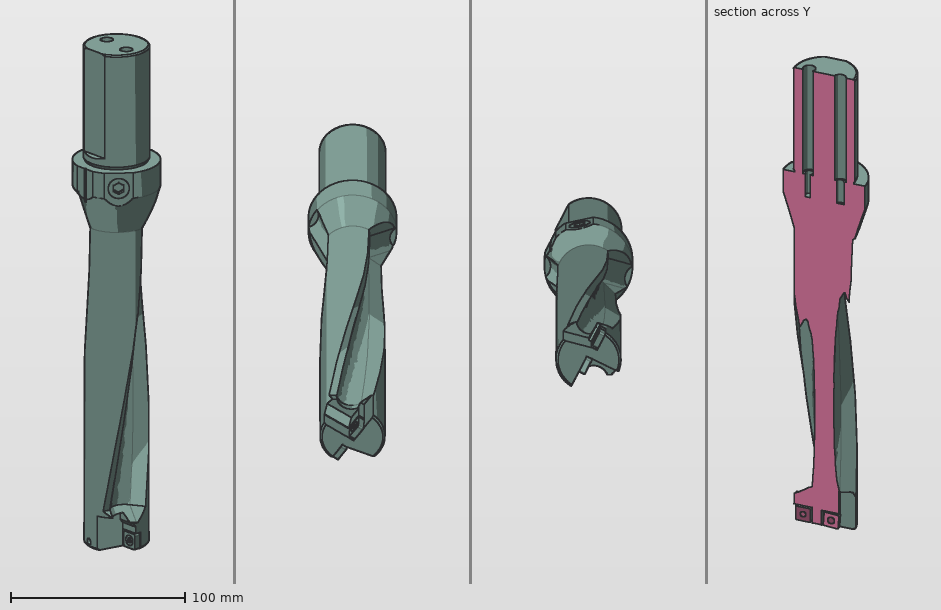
import cadquery as cq
import math

TOTAL_LENGTH = 303.8
FACE_Z = 0.5
COLLAR_R = 25.37
COLLAR_TOP_Z = 234.0
COLLAR_BOTTOM_Z = 218.5
SHANK_R = 19.0
SHANK_CHAMFER = 1.0
NECK_R = 18.2
NECK_TOP_Z = 235.8
BODY_R = 18.7
CONE_BOTTOM_Z = 196.0
FACE_CHAMFER = 1.2

SHANK_FLAT_Y = -17.0
SHANK_FLAT_Z = 239.5
SHANK_FLAT_RISE = 1.2

COLLAR_FLAT_Y = -24.45
COLLAR_MARK_W = 1.2
COLLAR_MARK_DEPTH = 0.5
PLUG_FLAT_DIST = 24.0
PLUG_ANGLE = -39.0
PLUG_R = 6.0
PLUG_LENGTH = 9.0
PLUG_Z = 224.5
PLUG_HEX = 7.0
PLUG_HEX_DEPTH = 3.5

COOLANT_X = 10.0
COOLANT_Y = -1.5
COOLANT_R = 3.5
COOLANT_DEPTH = 70.0
COOLANT_CORE_R = 2.5
COOLANT_CORE_DEPTH = 85.0

FLUTE_R = 8.5
FLUTE_CENTRE = (-11.2, -9.0)
LIP_JOINT_ANGLE = 119.0
LIP_END = (-24.3, 6.5)
WALL_END = (-1.2, -30.5)
FLUTE_OUTSIDE = (-33.5, -30.5)
RUNOUT_SLOPE = (-0.1, -0.8)
RUNOUT_HEIGHT = COLLAR_BOTTOM_Z - CONE_BOTTOM_Z
TWIST_START_Z = CONE_BOTTOM_Z
TWIST_FULL_Z = 127.5
TWIST_RATE = 0.5595
FLUTE_BOTTOM_Z = 25.2
INNER_END_SLOPE = (0.2, 0.2)
OUTER_END_SLOPE = (0.8, 0.8)
END_HEIGHT = 8.0
SECOND_FLUTE_ANGLE = 194.0
PATH_STEPS = 24

INSERT_SIZE = 9.5
INSERT_T = 3.5
INSERT_CORNER_R = 1.0
INSERT_HALF_T = INSERT_T / 2
OUTER_INSERT_X = 13.0
OUTER_INSERT_Z = 5.32
INNER_INSERT_X = -4.3
INNER_INSERT_TILT = 4.0
POCKET_GAP = 1.0
OUTER_POCKET_TOP_Z = 21.5
OUTER_STEP_Z = (15.0, 17.0)
OUTER_STEP_H = 1.5
INNER_POCKET_TOP_Z = 18.0
OUTER_WALL = ((3.3, -21.3), (7.3, -INSERT_HALF_T))
INNER_WALL_X = 1.5
INNER_WALL_TOP_X = -1.5
INNER_LEAN_Z = 9.5
INNER_RELIEF_X = -9.0
SCREW_HEAD_R = 3.0
SCREW_HEAD_H = 1.8
SCREW_R = 1.5
SCREW_LENGTH = 8.5
SCREW_HEX = 3.0
SCREW_HEX_DEPTH = 1.2

SIDE_HOLE_X = -3.3
SIDE_HOLE_Z = 4.3
SIDE_HOLE_R = 1.8
SIDE_HOLE_DEPTH = 6.0

BIG = 2 * COLLAR_R


def block(x0, x1, y0, y1, z0, z1):
    """Box between two opposite corners."""
    return cq.Workplane("XY").box(x1 - x0, y1 - y0, z1 - z0, centered=False).translate((x0, y0, z0))


def turned_blank():
    """Shank, undercut, collar, cone and drill length as one turned profile."""
    profile = [
        (0, FACE_Z),
        (BODY_R - FACE_CHAMFER, FACE_Z),
        (BODY_R, FACE_Z + FACE_CHAMFER),
        (BODY_R, CONE_BOTTOM_Z),
        (COLLAR_R, COLLAR_BOTTOM_Z),
        (COLLAR_R, COLLAR_TOP_Z),
        (NECK_R, COLLAR_TOP_Z),
        (SHANK_R, NECK_TOP_Z),
        (SHANK_R, TOTAL_LENGTH - SHANK_CHAMFER),
        (SHANK_R - SHANK_CHAMFER, TOTAL_LENGTH),
        (0, TOTAL_LENGTH),
    ]
    return cq.Workplane("XZ").polyline(profile).close().revolve(360, (0, 0, 0), (0, 1, 0))


def shank_flat():
    """Flat along the shank, ending in a sloped ledge."""
    return (
        cq.Workplane("YZ")
        .polyline([
            (SHANK_FLAT_Y, SHANK_FLAT_Z + SHANK_FLAT_RISE),
            (-SHANK_R, SHANK_FLAT_Z),
            (-BIG, SHANK_FLAT_Z),
            (-BIG, TOTAL_LENGTH),
            (SHANK_FLAT_Y, TOTAL_LENGTH),
        ])
        .close()
        .extrude(BIG, both=True)
    )


def collar_flats():
    """Flat at -Y with its index groove, and the flat that carries the plug."""
    index_flat = block(-BIG, BIG, -BIG, COLLAR_FLAT_Y, CONE_BOTTOM_Z, COLLAR_TOP_Z)
    mark = block(-COLLAR_MARK_W / 2, COLLAR_MARK_W / 2, -BIG, COLLAR_FLAT_Y + COLLAR_MARK_DEPTH,
                 CONE_BOTTOM_Z, COLLAR_TOP_Z)
    plug_flat = block(PLUG_FLAT_DIST, BIG, -BIG, BIG, CONE_BOTTOM_Z, COLLAR_TOP_Z)
    return index_flat.union(mark).union(plug_flat.rotate((0, 0, 0), (0, 0, 1), PLUG_ANGLE))


def plug_blank():
    """Round blank of the collar plug, flush with its flat."""
    return (
        cq.Workplane("YZ", origin=(PLUG_FLAT_DIST - PLUG_LENGTH, 0, PLUG_Z))
        .circle(PLUG_R)
        .extrude(PLUG_LENGTH)
        .rotate((0, 0, 0), (0, 0, 1), PLUG_ANGLE)
    )


def make_plug():
    """Collar plug with its hexagon socket."""
    socket = (
        cq.Workplane("YZ", origin=(PLUG_FLAT_DIST - PLUG_HEX_DEPTH, 0, PLUG_Z))
        .transformed(rotate=(0, 0, 90))
        .polygon(6, PLUG_HEX)
        .extrude(PLUG_HEX_DEPTH)
        .rotate((0, 0, 0), (0, 0, 1), PLUG_ANGLE)
    )
    return plug_blank().cut(socket)


def coolant_holes():
    """Two stepped coolant holes down from the shank end."""
    places = [(COOLANT_X, COOLANT_Y), (-COOLANT_X, -COOLANT_Y)]
    end = cq.Workplane("XY", origin=(0, 0, TOTAL_LENGTH)).pushPoints(places)
    return end.circle(COOLANT_R).extrude(-COOLANT_DEPTH).union(
        end.circle(COOLANT_CORE_R).extrude(-COOLANT_CORE_DEPTH)
    )


def twist_at(z):
    """Flute twist in degrees: none at the top, easing into a constant rate."""
    ease = TWIST_START_Z - TWIST_FULL_Z
    drop = TWIST_START_Z - z
    if drop < ease:
        return TWIST_RATE * drop ** 2 / (2 * ease)
    return TWIST_RATE * (drop - ease / 2)


def flute_section():
    """Flute outline: straight wall, round floor, bevelled lip, closed outside the body."""
    cx, cy = FLUTE_CENTRE

    def floor_point(degrees):
        angle = math.radians(degrees)
        return (cx + FLUTE_R * math.cos(angle), cy + FLUTE_R * math.sin(angle))

    return (
        cq.Workplane("XY", origin=(0, 0, TWIST_START_Z))
        .moveTo(*WALL_END)
        .lineTo(*floor_point(0))
        .threePointArc(floor_point(LIP_JOINT_ANGLE / 2), floor_point(LIP_JOINT_ANGLE))
        .lineTo(*LIP_END)
        .lineTo(*FLUTE_OUTSIDE)
        .close()
    )


def slanted_flute(slope, height):
    """Flute outline pushed straight out of the body over a height (negative runs down)."""
    slope_x, slope_y = slope
    travel = cq.Vector(slope_x * height, slope_y * height, height)
    return cq.Workplane(cq.Solid.extrudeLinear(flute_section().wires().val(), [], travel))


def twisted_flute():
    """Flute outline swept down the axis, turned by a guide curve that follows the twist."""
    length = TWIST_START_Z - FLUTE_BOTTOM_Z
    guide_points = []
    for step in range(PATH_STEPS + 1):
        z = TWIST_START_Z - length * step / PATH_STEPS
        angle = math.radians(180 - twist_at(z))
        guide_points.append((BODY_R * math.cos(angle), BODY_R * math.sin(angle), z))
    guide = cq.Workplane("XY").spline(guide_points)
    axis = cq.Workplane("XZ").moveTo(0, TWIST_START_Z).lineTo(0, FLUTE_BOTTOM_Z)
    return flute_section().sweep(axis, auxSpine=guide)


def flute_cutters(end_slope):
    """Run-out through the cone, twisted length and slanted lower end of one flute."""
    lower_end = (
        slanted_flute(end_slope, -END_HEIGHT)
        .rotate((0, 0, 0), (0, 0, 1), -twist_at(FLUTE_BOTTOM_Z))
        .translate((0, 0, FLUTE_BOTTOM_Z - TWIST_START_Z))
    )
    return [slanted_flute(RUNOUT_SLOPE, RUNOUT_HEIGHT), twisted_flute(), lower_end]


def outer_pocket():
    """Chip space and insert recess at +X, facing -Y."""
    wall_outer, wall_inner = OUTER_WALL
    plan = (
        cq.Workplane("XY")
        .polyline([wall_outer, wall_inner, (BIG, wall_inner[1]), (BIG, wall_outer[1])])
        .close()
        .extrude(OUTER_POCKET_TOP_Z)
    )
    step_low_z, step_high_z = OUTER_STEP_Z
    levels = (
        cq.Workplane("YZ")
        .polyline([
            (-INSERT_HALF_T, 0),
            (-INSERT_HALF_T, step_low_z),
            (-INSERT_HALF_T - OUTER_STEP_H, step_high_z),
            (-INSERT_HALF_T - OUTER_STEP_H, OUTER_POCKET_TOP_Z),
            (-BIG, OUTER_POCKET_TOP_Z),
            (-BIG, 0),
        ])
        .close()
        .extrude(BIG)
    )
    half = INSERT_SIZE / 2 + POCKET_GAP
    recess = block(OUTER_INSERT_X - half, BIG, -INSERT_T, INSERT_HALF_T, 0, OUTER_INSERT_Z + half)
    return plan.intersect(levels).union(recess)


def inner_pocket():
    """Chip space, outer relief and insert recess at -X, facing +Y."""
    chip_space = (
        cq.Workplane("XZ", origin=(0, INSERT_HALF_T, 0))
        .polyline([
            (INNER_WALL_X, 0),
            (INNER_WALL_X, INNER_LEAN_Z),
            (INNER_WALL_TOP_X, INNER_POCKET_TOP_Z),
            (-BIG, INNER_POCKET_TOP_Z),
            (-BIG, 0),
        ])
        .close()
        .extrude(-BIG)
    )
    relief = block(-BIG, INNER_RELIEF_X, -INSERT_HALF_T, BIG, 0, FLUTE_BOTTOM_Z)
    recess = block(-BIG, INNER_WALL_X, -INSERT_HALF_T, BIG, 0, INSERT_SIZE + POCKET_GAP)
    return chip_space.union(relief).union(recess)


def side_hole():
    """Small blind hole into the side near the end face."""
    return (
        cq.Workplane("XZ", origin=(SIDE_HOLE_X, -BODY_R, SIDE_HOLE_Z))
        .circle(SIDE_HOLE_R)
        .extrude(-SIDE_HOLE_DEPTH)
    )


def screw_blank():
    """Countersunk screw along +Y, head face at the insert face."""
    profile = [
        (0, -INSERT_HALF_T),
        (SCREW_HEAD_R, -INSERT_HALF_T),
        (SCREW_R, SCREW_HEAD_H - INSERT_HALF_T),
        (SCREW_R, SCREW_LENGTH - INSERT_HALF_T),
        (0, SCREW_LENGTH - INSERT_HALF_T),
    ]
    return cq.Workplane("XY").polyline(profile).close().revolve(360, (0, 0, 0), (0, 1, 0))


def insert():
    """Square insert facing -Y with a countersunk screw hole."""
    plate = (
        cq.Workplane("XZ")
        .rect(INSERT_SIZE, INSERT_SIZE)
        .extrude(INSERT_HALF_T, both=True)
        .edges("|Y")
        .fillet(INSERT_CORNER_R)
    )
    return plate.cut(screw_blank())


def screw():
    """Insert screw with its hexagon socket."""
    socket = (
        cq.Workplane("XZ", origin=(0, -INSERT_HALF_T, 0))
        .polygon(6, SCREW_HEX)
        .extrude(-SCREW_HEX_DEPTH)
    )
    return screw_blank().cut(socket)


def at_outer_seat(shape):
    return shape.translate((OUTER_INSERT_X, 0, OUTER_INSERT_Z))


def at_inner_seat(shape):
    """Turn a seat part to face +Y, tilt it, and drop its lowest corner to Z = 0."""
    tilt = math.radians(INNER_INSERT_TILT)
    straight = INSERT_SIZE / 2 - INSERT_CORNER_R
    height = straight * (math.cos(tilt) + math.sin(tilt)) + INSERT_CORNER_R
    turned = shape.rotate((0, 0, 0), (0, 0, 1), 180).rotate((0, 0, 0), (0, 1, 0), -INNER_INSERT_TILT)
    return turned.translate((INNER_INSERT_X, 0, height))


SEATS = [at_outer_seat, at_inner_seat]


def make_drill_body():
    """Turned blank with its flats, holes, flutes and insert seats cut in."""
    body = turned_blank().cut(shank_flat()).cut(collar_flats()).cut(plug_blank()).cut(coolant_holes())
    for angle, end_slope in [(0, INNER_END_SLOPE), (SECOND_FLUTE_ANGLE, OUTER_END_SLOPE)]:
        for cutter in flute_cutters(end_slope):
            body = body.cut(cutter.rotate((0, 0, 0), (0, 0, 1), angle))
    body = body.cut(outer_pocket()).cut(inner_pocket()).cut(side_hole())
    for place in SEATS:
        body = body.cut(place(screw_blank()))
    return body


drill_body = make_drill_body()
plug = make_plug()
inserts = [place(insert()).val() for place in SEATS]
screws = [place(screw()).val() for place in SEATS]

result = cq.Compound.makeCompound([drill_body.val(), plug.val(), *inserts, *screws])